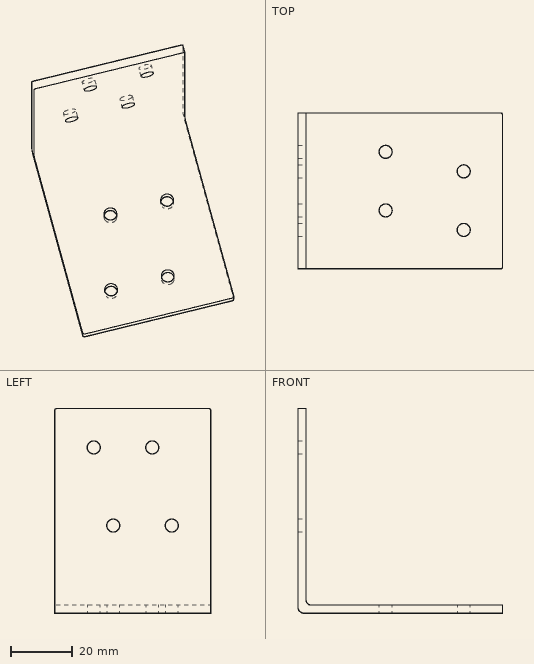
import cadquery as cq

leg_length = 66.675
width = 50.8
thickness = 2.75

inner_bend_radius = 1.5
outer_bend_radius = 2.1
corner_radius = 0.7

hole_diameter = 4.166
hole_row_pitch = 25.4
hole_pair_pitch = 19.05
row_stagger = 6.35
outer_row_edge_distance = 12.7

outer_row = leg_length - outer_row_edge_distance
inner_row = outer_row - hole_row_pitch
pair_shift = row_stagger / 2


def make_angle():
    """Bent L section along Y, with its outer corner at X = Z = 0."""
    profile = (
        cq.Workplane("XZ")
        .moveTo(0, 0)
        .lineTo(leg_length, 0)
        .lineTo(leg_length, thickness)
        .lineTo(thickness, thickness)
        .lineTo(thickness, leg_length)
        .lineTo(0, leg_length)
        .close()
        .extrude(width / 2, both=True)
    )
    inner_edge = cq.selectors.NearestToPointSelector((thickness, 0, thickness))
    outer_edge = cq.selectors.NearestToPointSelector((0, 0, 0))
    bent = profile.edges("|Y").edges(inner_edge).fillet(inner_bend_radius)
    return bent.edges("|Y").edges(outer_edge).fillet(outer_bend_radius)


def round_leg_corners(body):
    """Round the two free corners of each leg."""
    body = body.faces(">X").edges("|Z").fillet(corner_radius)
    return body.faces(">Z").edges("|X").fillet(corner_radius)


def hole_points(outer_row_shift):
    """(distance along the leg, Y) of the four staggered holes."""
    points = []
    for row, shift in ((outer_row, outer_row_shift), (inner_row, -outer_row_shift)):
        for side in (-1, 1):
            points.append((row, shift + side * hole_pair_pitch / 2))
    return points


def drill_legs(body):
    """Drill both legs; the outer rows are staggered to opposite sides."""
    floor_points = hole_points(-pair_shift)
    wall_points = [(y, height) for height, y in hole_points(pair_shift)]
    floor_holes = cq.Workplane("XY").pushPoints(floor_points).circle(hole_diameter / 2).extrude(thickness)
    wall_holes = cq.Workplane("YZ").pushPoints(wall_points).circle(hole_diameter / 2).extrude(thickness)
    return body.cut(floor_holes).cut(wall_holes)


result = drill_legs(round_leg_corners(make_angle()))